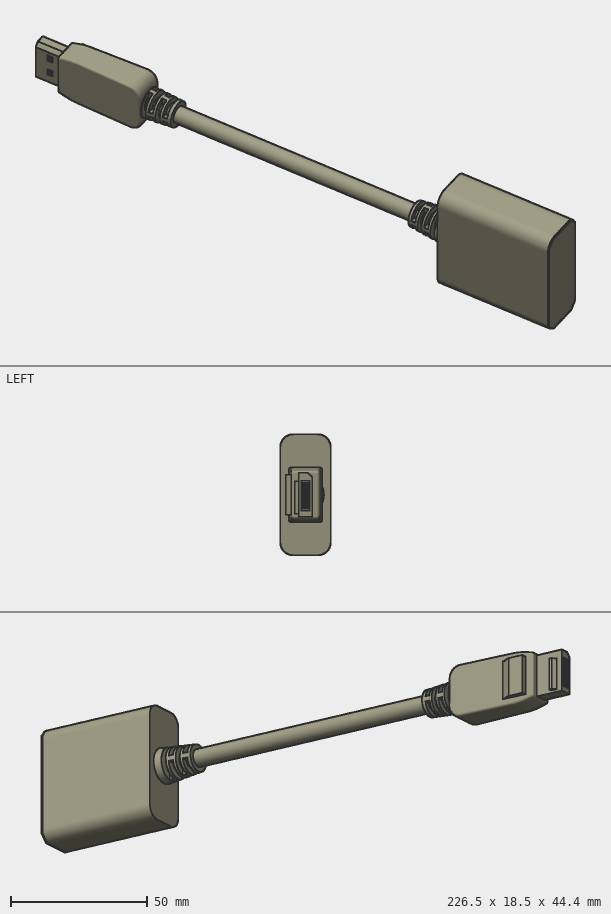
import cadquery as cq

TOTAL_LENGTH = 226.5

BOX_START = 178.2
BOX_THICKNESS = 18.5
BOX_HEIGHT = 44.4
BOX_CORNER_RADIUS = 4.8

LIP_LENGTH = 0.5
LIP_INSET = 0.2
LIP_CHAMFER = 3.0

CABLE_RADIUS = 3.5

RELIEF_TIP_RADIUS = 5.2
BOX_RELIEF_TIP = 163.0
BOX_RELIEF_ROOT_RADIUS = 6.8
BOX_RELIEF_FIRST_SLOT = 174.1
PLUG_RELIEF_TIP = 60.2
PLUG_RELIEF_ROOT_RADIUS = 6.1
PLUG_RELIEF_FIRST_SLOT = 49.0
SLOT_PITCH = 3.0
SLOT_WIDTH = 1.8
SLOT_COUNT = 4
BRIDGE_WIDTH = 2.0

GRIP_START = 11.0
GRIP_END = 47.8
GRIP_SHOULDER = 14.3
GRIP_FULL_HEIGHT_START = 20.4
GRIP_HEIGHT = 20.2
GRIP_SHOULDER_HEIGHT = 18.8
GRIP_MOUTH_HEIGHT = 17.2
GRIP_MOUTH_THICKNESS = 10.2
GRIP_END_THICKNESS = 12.5
GRIP_CORNER_RADIUS = 4.8
GRIP_EDGE_FILLET = 1.0

BUTTON_HEIGHT = 14.7
BUTTON_TOP = 7.2
BUTTON_RAMP_START = 20.4
BUTTON_END = 25.0

SHELL_THICKNESS = 5.0
SHELL_HEIGHT = 16.0
SHELL_KEY_CHAMFER = 1.5
LATCH_SPACING = 6.8
LATCH_X = 6.1
LATCH_HOLE_SIZE = 2.3
LATCH_HOLE_DEPTH = 0.5
HOOK_START = 2.3
HOOK_END = 4.8
HOOK_RISE = 1.4
HOOK_TOP = 5.0
HOOK_BOTTOM = -7.0

CAVITY_DEPTH = 6.8
CAVITY_TOP = 5.2
CAVITY_BOTTOM = -6.0
CAVITY_WIDTH = 3.2
CONTACT_COUNT = 10
CONTACT_PITCH = 1.0
CONTACT_WIDTH = 0.5
CONTACT_RISE = 1.4


def block(x_range, y_range, z_range):
    """Box between the given limits on each axis."""
    corner = (x_range[0], y_range[0], z_range[0])
    size = [high - low for low, high in (x_range, y_range, z_range)]
    return cq.Workplane("XY", origin=corner).box(*size, centered=False)


def make_relief(root_x, tip_x, root_radius, first_slot):
    """Tapered sleeve around the cable; its slots alternate between the Y and the Z sides."""
    relief = (
        cq.Workplane("XZ")
        .polyline([
            (root_x, CABLE_RADIUS),
            (root_x, root_radius),
            (tip_x, RELIEF_TIP_RADIUS),
            (tip_x, CABLE_RADIUS),
        ])
        .close()
        .revolve(360, (0, 0, 0), (1, 0, 0))
    )
    toward_tip = 1 if tip_x > root_x else -1
    reach = 2 * root_radius
    for index in range(SLOT_COUNT):
        centre = first_slot + toward_tip * index * SLOT_PITCH
        slot_x = (centre - SLOT_WIDTH / 2, centre + SLOT_WIDTH / 2)
        for inner, outer in ((BRIDGE_WIDTH / 2, reach), (-reach, -BRIDGE_WIDTH / 2)):
            across = (-reach, reach)
            if index % 2 == 0:
                relief = relief.cut(block(slot_x, (inner, outer), across))
            else:
                relief = relief.cut(block(slot_x, across, (inner, outer)))
    return relief


def make_box_housing():
    """Box with rounded long edges, a stepped lip on its end face and its strain relief."""
    half_y = BOX_THICKNESS / 2
    half_z = BOX_HEIGHT / 2
    lip_start = TOTAL_LENGTH - LIP_LENGTH
    box = block((BOX_START, lip_start), (-half_y, half_y), (-half_z, half_z))
    box = box.edges("|X").fillet(BOX_CORNER_RADIUS)
    lip_half_y = half_y - LIP_INSET
    lip_half_z = half_z - LIP_INSET
    lip = block((lip_start, TOTAL_LENGTH), (-lip_half_y, lip_half_y), (-lip_half_z, lip_half_z))
    lip = lip.edges("|X").chamfer(LIP_CHAMFER)
    relief = make_relief(BOX_START, BOX_RELIEF_TIP, BOX_RELIEF_ROOT_RADIUS, BOX_RELIEF_FIRST_SLOT)
    return box.union(lip).union(relief)


def make_grip_outline():
    """Side outline of the grip in XZ, extruded past its full thickness."""
    half_height = GRIP_HEIGHT / 2
    return (
        cq.Workplane("XZ", origin=(0, GRIP_END_THICKNESS, 0))
        .moveTo(GRIP_END, 0)
        .lineTo(GRIP_END, half_height)
        .lineTo(GRIP_FULL_HEIGHT_START, half_height)
        .tangentArcPoint((GRIP_SHOULDER, GRIP_SHOULDER_HEIGHT / 2), relative=False)
        .lineTo(GRIP_START, GRIP_MOUTH_HEIGHT / 2)
        .lineTo(GRIP_START, 0)
        .mirrorX()
        .extrude(2 * GRIP_END_THICKNESS)
        .edges("|Y and >X")
        .edges(">Z or <Z")
        .fillet(GRIP_CORNER_RADIUS)
    )


def make_grip():
    """Tapered hand grip with its release button and strain relief."""
    mouth = GRIP_MOUTH_THICKNESS / 2
    end = GRIP_END_THICKNESS / 2
    taper = (
        cq.Workplane("XY")
        .polyline([(GRIP_START, -mouth), (GRIP_END, -end), (GRIP_END, end), (GRIP_START, mouth)])
        .close()
        .extrude(GRIP_HEIGHT, both=True)
    )
    grip = make_grip_outline().intersect(taper)
    grip = grip.faces("<X or <Y or >Y").edges().fillet(GRIP_EDGE_FILLET)
    button = (
        cq.Workplane("XY")
        .polyline([
            (GRIP_SHOULDER, 0),
            (GRIP_SHOULDER, BUTTON_TOP),
            (BUTTON_RAMP_START, BUTTON_TOP),
            (BUTTON_END, mouth),
            (BUTTON_END, 0),
        ])
        .close()
        .extrude(BUTTON_HEIGHT / 2, both=True)
    )
    relief = make_relief(GRIP_END, PLUG_RELIEF_TIP, PLUG_RELIEF_ROOT_RADIUS, PLUG_RELIEF_FIRST_SLOT)
    return grip.union(button).union(relief)


def cut_contact_cavity(shell):
    """Open the mouth of the shell, leaving a row of contacts along each wide wall."""
    half = CAVITY_WIDTH / 2
    cavity = block((0, CAVITY_DEPTH), (-half, half), (CAVITY_BOTTOM, CAVITY_TOP))
    middle = (CAVITY_TOP + CAVITY_BOTTOM) / 2
    for index in range(CONTACT_COUNT):
        z = middle + (index - (CONTACT_COUNT - 1) / 2) * CONTACT_PITCH
        contact_z = (z - CONTACT_WIDTH / 2, z + CONTACT_WIDTH / 2)
        cavity = cavity.cut(block((0, CAVITY_DEPTH), (-half, -half + CONTACT_RISE), contact_z))
        cavity = cavity.cut(block((0, CAVITY_DEPTH), (half - CONTACT_RISE, half), contact_z))
    return shell.cut(cavity)


def make_connector():
    """Metal connector with a keyed corner, latch holes, a latch hook and contacts."""
    half_y = SHELL_THICKNESS / 2
    half_z = SHELL_HEIGHT / 2
    shell = block((0, GRIP_START), (-half_y, half_y), (-half_z, half_z))
    shell = shell.edges("|X and <Y and >Z").chamfer(SHELL_KEY_CHAMFER)
    holes = (
        cq.Workplane("XZ", origin=(LATCH_X, -half_y, 0))
        .rarray(2.3, LATCH_SPACING, 1, 2)
        .rect(LATCH_HOLE_SIZE, LATCH_HOLE_SIZE)
        .extrude(-LATCH_HOLE_DEPTH)
    )
    hook = (
        cq.Workplane("XY", origin=(0, 0, HOOK_BOTTOM))
        .polyline([
            (HOOK_START, half_y),
            ((HOOK_START + HOOK_END) / 2, half_y + HOOK_RISE),
            (HOOK_END, half_y + HOOK_RISE),
            (HOOK_END, half_y),
        ])
        .close()
        .extrude(HOOK_TOP - HOOK_BOTTOM)
    )
    shell = shell.cut(holes).union(hook)
    return cut_contact_cavity(shell)


def make_cable():
    """Round cable from the grip to the box, passing through both strain reliefs."""
    return (
        cq.Workplane("XZ")
        .polyline([(GRIP_END, 0), (GRIP_END, CABLE_RADIUS), (BOX_START, CABLE_RADIUS), (BOX_START, 0)])
        .close()
        .revolve(360, (0, 0, 0), (1, 0, 0))
    )


connector = make_connector()
grip = make_grip()
cable = make_cable()
box_housing = make_box_housing()

result = cq.Compound.makeCompound([connector.val(), grip.val(), cable.val(), box_housing.val()])